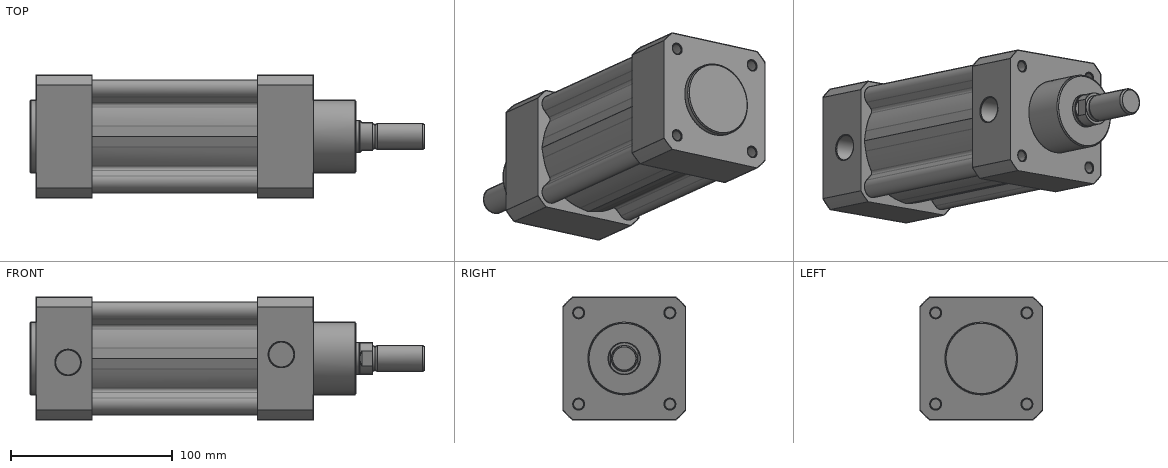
import cadquery as cq
import math


rear_boss_length = 4.0
cap_length = 34.6
barrel_length = 102.0
front_boss_length = 26.4
rear_cap_start = rear_boss_length
barrel_start = rear_cap_start + cap_length
front_cap_start = barrel_start + barrel_length
front_cap_end = front_cap_start + cap_length
front_boss_end = front_cap_end + front_boss_length

cap_width = 76.0
cap_corner_diameter = 99.0
boss_diameter = 45.0
boss_chamfer = 0.7
port_diameter = 15.4
port_depth = 14.6
port_chamfer = 0.5
port_offset_x = 2.5
port_offset_z = 2.5
screw_hole_diameter = 6.3
screw_hole_depth = 12.2
screw_hole_chamfer = 0.5
screw_hole_spacing = 56.4

barrel_radius = 34.5
ridge_half_width = 6.3
lobe_radius = 6.0
lobe_center = 28.8
lobe_root_fillet = 2.2

rod_end = 244.0
collar_diameter = 20.0
wrench_end = 211.8
shoulder_start = 203.5
shoulder_end = 204.0
wrench_diameter = 19.5
thread_diameter = 16.0
relief_diameter = 14.5
relief_half_width = 1.5
rod_tip_length = 1.5
rod_tip_diameter = 14.5
flat_width = 17.0
flat_depth = (wrench_diameter - flat_width) / 2


def plane_at(x):
    """Sketch plane facing +X at station x, with local x along Y and local y along Z."""
    return cq.Workplane("YZ", origin=(x, 0, 0))


def cap_block(start):
    """Square block with its four long corners turned to a circle about the axis."""
    block = plane_at(start).rect(cap_width, cap_width).extrude(cap_length)
    turned_envelope = plane_at(start).circle(cap_corner_diameter / 2).extrude(cap_length)
    return block.intersect(turned_envelope)


def port_cutter(x, z):
    """Blind port in the -Y side of a cap, with a chamfered mouth."""
    side = cq.Workplane("XZ", origin=(x, -cap_width / 2, z))
    bore = side.circle(port_diameter / 2).extrude(-port_depth)
    mouth = cq.Solid.makeCone(
        port_diameter / 2 + port_chamfer,
        port_diameter / 2,
        port_chamfer,
        pnt=cq.Vector(x, -cap_width / 2, z),
        dir=cq.Vector(0, 1, 0),
    )
    return bore.union(cq.Workplane(mouth))


def cut_screw_holes(cap, face, inward):
    """Four blind chamfered holes in the end face at station face; inward is +1 or -1 along X."""
    radius = screw_hole_diameter / 2
    half_spacing = screw_hole_spacing / 2
    for y_side in (-1, 1):
        for z_side in (-1, 1):
            mouth_point = cq.Vector(face, y_side * half_spacing, z_side * half_spacing)
            direction = cq.Vector(inward, 0, 0)
            bore = cq.Solid.makeCylinder(radius, screw_hole_depth, mouth_point, direction)
            mouth = cq.Solid.makeCone(
                radius + screw_hole_chamfer, radius, screw_hole_chamfer, mouth_point, direction
            )
            cap = cap.cut(cq.Workplane(bore)).cut(cq.Workplane(mouth))
    return cap


def make_rear_cap():
    """Rear cap with a short round boss, a port and four screw holes."""
    boss = plane_at(0).circle(boss_diameter / 2).extrude(rear_boss_length)
    boss = boss.faces("<X").chamfer(boss_chamfer)
    cap = cap_block(rear_cap_start).union(boss)
    port_x = rear_cap_start + cap_length / 2 + port_offset_x
    cap = cap.cut(port_cutter(port_x, -port_offset_z))
    return cut_screw_holes(cap, rear_cap_start, 1)


def make_front_cap():
    """Front cap with a long round boss, a port, four screw holes and a bore for the rod."""
    boss = plane_at(front_cap_end).circle(boss_diameter / 2).extrude(front_boss_length)
    boss = boss.faces(">X").chamfer(boss_chamfer)
    cap = cap_block(front_cap_start).union(boss)
    port_x = front_cap_start + cap_length / 2 - port_offset_x
    cap = cap.cut(port_cutter(port_x, port_offset_z))
    cap = cut_screw_holes(cap, front_cap_end, -1)
    rod_bore = plane_at(front_cap_start).circle(collar_diameter / 2).extrude(front_boss_end - front_cap_start)
    return cap.cut(rod_bore)


def ridge_outline():
    """Polygon with a ridge on each axis, whose flanks meet the round body tangentially."""
    flank_angle = math.asin(ridge_half_width / barrel_radius)
    ridge_radius = barrel_radius / math.cos(flank_angle)
    points = []
    for quarter in range(4):
        axis_angle = quarter * math.pi / 2
        for angle, radius in ((-flank_angle, barrel_radius), (0, ridge_radius), (flank_angle, barrel_radius)):
            points.append((radius * math.cos(axis_angle + angle), radius * math.sin(axis_angle + angle)))
    return points


def is_lobe_root(edge):
    """True for an edge where the side of a lobe meets the round body, away from the Y and Z axes."""
    middle = edge.Center()
    on_body = math.isclose(math.hypot(middle.y, middle.z), barrel_radius, rel_tol=0.001)
    return on_body and min(abs(middle.y), abs(middle.z)) > 2 * ridge_half_width


def make_barrel():
    """Ridged round body with a round-ended lobe on each diagonal and fillets at the lobe roots."""
    barrel = plane_at(barrel_start).circle(barrel_radius).extrude(barrel_length)
    ridges = plane_at(barrel_start).polyline(ridge_outline()).close().extrude(barrel_length)
    barrel = barrel.union(ridges)
    bar_length = 2 * (math.sqrt(2) * lobe_center + lobe_radius)
    for angle in (45, 135):
        diagonal_bar = plane_at(barrel_start).slot2D(bar_length, 2 * lobe_radius, angle).extrude(barrel_length)
        barrel = barrel.union(diagonal_bar)
    roots = [edge for edge in barrel.edges("|X").vals() if is_lobe_root(edge)]
    return barrel.newObject(roots).fillet(lobe_root_fillet)


def make_rod():
    """Turned rod: collar, wrench section with two flats, V-shaped thread relief, tapered tip."""
    collar_radius = collar_diameter / 2
    wrench_radius = wrench_diameter / 2
    thread_radius = thread_diameter / 2
    profile = [
        (front_cap_start, 0),
        (front_cap_start, collar_radius),
        (shoulder_start, collar_radius),
        (shoulder_end, wrench_radius),
        (wrench_end, wrench_radius),
        (wrench_end, thread_radius),
        (wrench_end + relief_half_width, relief_diameter / 2),
        (wrench_end + 2 * relief_half_width, thread_radius),
        (rod_end - rod_tip_length, thread_radius),
        (rod_end, rod_tip_diameter / 2),
        (rod_end, 0),
    ]
    rod = cq.Workplane("XY").polyline(profile).close().revolve(360, (0, 0, 0), (1, 0, 0))
    for side in (-1, 1):
        flat = (
            cq.Workplane("XY", origin=(0, 0, -wrench_radius))
            .moveTo(shoulder_end, side * wrench_radius)
            .lineTo(shoulder_end + flat_depth, side * flat_width / 2)
            .lineTo(wrench_end, side * flat_width / 2)
            .lineTo(wrench_end, side * wrench_radius)
            .close()
            .extrude(wrench_diameter)
        )
        rod = rod.cut(flat)
    return rod


rear_cap = make_rear_cap()
barrel = make_barrel()
front_cap = make_front_cap()
rod = make_rod()

result = cq.Compound.makeCompound([rear_cap.val(), barrel.val(), front_cap.val(), rod.val()])